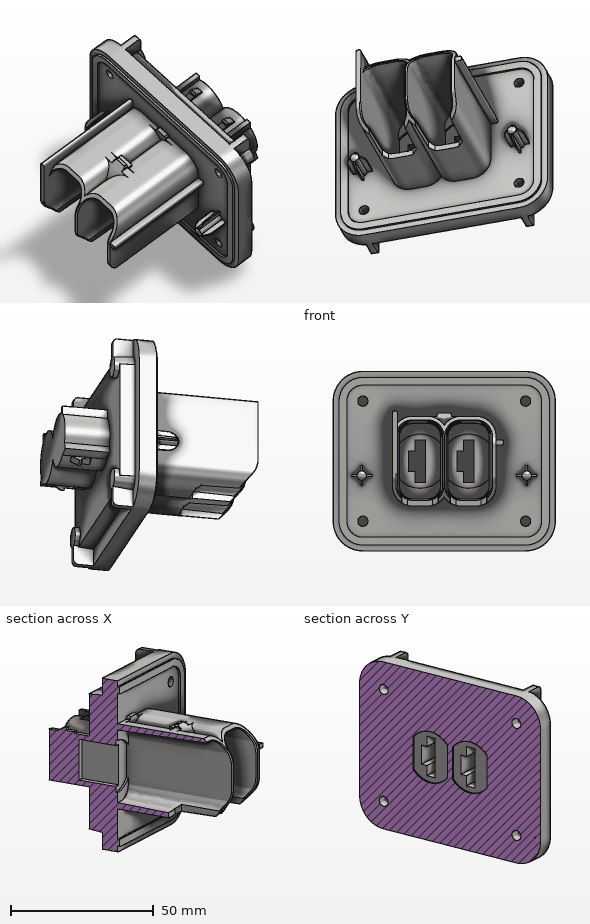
import cadquery as cq
import math

FLANGE_WIDTH = 78.0
FLANGE_HEIGHT = 63.0
FLANGE_THICK = 6.3
FLANGE_RADIUS = 10.45

RIM_HEIGHT = 0.8
RIM_OUTER_INSET = 2.1
RIM_INNER_INSET = 4.8

BOSS_X = FLANGE_WIDTH / 2 - FLANGE_RADIUS
BOSS_Z = FLANGE_HEIGHT / 2 - FLANGE_RADIUS
BOSS_BASE_RADIUS = 4.2
BOSS_TIP_RADIUS = 3.6
BOSS_HEIGHT = 7.2
SCREW_RADIUS = 1.8
SCREW_DEPTH = 11.7
FIN_THICK = 2.4
FIN_ROUND = 1.7

BLOCK_HEIGHT = 5.4
BLOCK_BASE_MARGIN = 4.3
BLOCK_BACK_MARGIN = 3.8

PIN_X = 28.9
PIN_Z = -5.1
PIN_RADIUS = 1.6
PIN_LENGTH = 10.45
PIN_DOME = 0.6
PIN_NOSE = 3.6
PIN_RIB_REACH = 3.5
PIN_RIB_THICK = 0.6

LOBE_X = 8.5
LOBE_HALF_WIDTH = 9.7
LOBE_HALF_HEIGHT = 15.75
LOBE_RADIUS = 7.0
SHROUD_LENGTH = 41.9
NOSE_STRAIGHT = 4.5
NOSE_RADIUS = 7.8
NOSE_ANGLE = math.radians(40)
LIP_CHAMFER = 0.5

NOTCH_START = 20.5
NOTCH_SHOULDER = 22.15
NOTCH_BACK_HALF_WIDTH = 4.45
NOTCH_SHOULDER_HALF_WIDTH = 6.25
NOTCH_TIP_HALF_WIDTH = 6.6
NOTCH_TOP = 11.7

CAVITY_HALF_WIDTH = 7.25
CAVITY_HALF_HEIGHT = 13.25
CAVITY_RADIUS = 4.7
MOUTH_HALF_WIDTH = 7.95
MOUTH_HALF_HEIGHT = 14.3
MOUTH_RADIUS = 5.45
FLOOR_RECESS_RADIUS = 9.5
FLOOR_RECESS_DEPTH = 0.8

SLOT_RIGHT = 1.9
SLOT_STEP = -1.7
SLOT_LEFT = -4.05
SLOT_HALF_HEIGHT = 7.4
SLOT_TAB_HALF_HEIGHT = 3.6
SLOT_DEPTH = 15.6

PANEL_THICK = 1.8
PANEL_TOP = 17.7
PANEL_ROUND = 0.85
SIDE_FIN_Z = 6.55
SIDE_FIN_THICK = 1.8
SIDE_FIN_REACH = 20.75
SIDE_FIN_ROUND = 0.7

KEY_HALF_WIDTH = 2.6
KEY_TOP = 16.85
KEY_BEVEL = 0.55
KEY_BASE = 7.8
REAR_KEY_FRONT = 1.6
FRONT_KEY_BACK = 17.6
KEY_HEAD_FRONT = 19.5
KEY_HEAD_HALF_WIDTH = 2.8
KEY_SLOPE_TOP = 20.5
KEY_SLOPE_FOOT = 27.5
VALLEY_FLOOR = 12.7

SOCKET_END = 27.85
BARREL_RADIUS = 9.4
RAIL_INNER = 12.4
RAIL_OUTER = 14.3
RAIL_TOP = 10.6
WING_TOP = 4.3
WING_EDGE = 6.95
WING_FOOT = 7.8

HOOK_WIDTH = 2.6
HOOK_TIP = 24.5
HOOK_CREST_BACK = 21.7
HOOK_CREST_FRONT = 20.75
HOOK_FOOT = 17.5
HOOK_HEIGHT = 11.0
HOOK_PAD_HEIGHT = 10.1
LOWER_HOOK_TILT = 26

LOBE_SIDES = (-1, 1)
SHROUD_EDGE = LOBE_X + LOBE_HALF_WIDTH
BLOCK_BACK = FLANGE_THICK + BLOCK_HEIGHT


def plane_at(y):
    """XZ plane at the given Y; extrusions from it run toward -Y."""
    return cq.Workplane("XZ", origin=(0, y, 0))


def box(x0, x1, y0, y1, z0, z1):
    return cq.Workplane("XY").box(x1 - x0, y1 - y0, z1 - z0, centered=False).translate((x0, y0, z0))


def rounded_block(half_width, half_height, radius, y_front, y_back, x=0.0):
    block = plane_at(y_back).center(x, 0).rect(2 * half_width, 2 * half_height).extrude(y_back - y_front)
    return block.edges("|Y").fillet(radius)


def rounded_section(half_width, half_height, radius):
    return cq.Sketch().rect(2 * half_width, 2 * half_height).vertices().fillet(radius)


def side_profile(points, x, width):
    """Prism of the given width about x from (y, z) points."""
    return cq.Workplane("YZ", origin=(x - width / 2, 0, 0)).polyline(points).close().extrude(width)


def make_flange():
    def inset_block(inset, y_front, y_back):
        half_width = FLANGE_WIDTH / 2 - inset
        half_height = FLANGE_HEIGHT / 2 - inset
        return rounded_block(half_width, half_height, FLANGE_RADIUS - inset, y_front, y_back)

    flange = inset_block(0, 0, FLANGE_THICK)
    rim = inset_block(RIM_OUTER_INSET, -RIM_HEIGHT, 0).cut(inset_block(RIM_INNER_INSET, -RIM_HEIGHT, 0))
    return flange.union(rim)


def make_backing_block():
    """Two crossed bars whose outer faces lean in toward the back."""
    def trapezoid(half_size):
        base = half_size + BLOCK_BASE_MARGIN
        back = half_size + BLOCK_BACK_MARGIN
        return [(FLANGE_THICK, -base), (BLOCK_BACK, -back), (BLOCK_BACK, back), (FLANGE_THICK, base)]

    tall_bar = side_profile(trapezoid(BOSS_Z), 0, 2 * BOSS_X)
    wide_outline = [(x, y) for y, x in trapezoid(BOSS_X)]
    wide_bar = cq.Workplane("XY", origin=(0, 0, -BOSS_Z)).polyline(wide_outline).close().extrude(2 * BOSS_Z)
    return tall_bar.union(wide_bar)


def make_boss(x, z):
    """Tapered boss with a fin running outward to the flange edge."""
    boss_back = FLANGE_THICK + BOSS_HEIGHT
    boss = (
        plane_at(boss_back).center(x, z).circle(BOSS_TIP_RADIUS)
        .workplane(offset=BOSS_HEIGHT).circle(BOSS_BASE_RADIUS)
        .loft()
    )
    top = FLANGE_HEIGHT / 2
    fin = box(x - FIN_THICK / 2, x + FIN_THICK / 2, FLANGE_THICK, boss_back, BOSS_Z, top)
    fin = fin.edges("|X and >Y and >Z").fillet(FIN_ROUND)
    if z < 0:
        fin = fin.mirror("XY")
    outline = rounded_block(FLANGE_WIDTH / 2, top, FLANGE_RADIUS, FLANGE_THICK, boss_back)
    return boss.union(fin.intersect(outline))


def make_pin(x):
    """Domed pin with four ribs whose outer edges curve in to the nose."""
    dome_start = PIN_DOME - PIN_LENGTH
    nose_start = dome_start + PIN_NOSE
    core = plane_at(0).circle(PIN_RADIUS).extrude(-dome_start)
    dome_radius = (PIN_RADIUS ** 2 + PIN_DOME ** 2) / (2 * PIN_DOME)
    dome = cq.Workplane("XY").sphere(dome_radius).translate((0, dome_radius - PIN_LENGTH, 0))
    dome = dome.intersect(plane_at(dome_start).circle(PIN_RADIUS).extrude(PIN_DOME))
    rib = (
        cq.Workplane("XY", origin=(0, 0, -PIN_RIB_THICK / 2))
        .moveTo(PIN_RIB_REACH, 0)
        .lineTo(PIN_RIB_REACH, nose_start)
        .tangentArcPoint((PIN_RADIUS, dome_start), relative=False)
        .lineTo(0, dome_start)
        .lineTo(0, 0)
        .close()
        .extrude(PIN_RIB_THICK)
    )
    pin = core.union(dome)
    for quarter in range(4):
        pin = pin.union(rib.rotate((0, 0, 0), (0, 1, 0), 90 * quarter))
    return pin.translate((x, 0, PIN_Z))


def make_nose_envelope():
    """Side outline of the shroud: flat tip, arcs, then slopes running back."""
    tip = -SHROUD_LENGTH
    arc_y = tip + NOSE_RADIUS * (1 - math.cos(NOSE_ANGLE))
    arc_z = NOSE_STRAIGHT + NOSE_RADIUS * math.sin(NOSE_ANGLE)
    mid_y = tip + NOSE_RADIUS * (1 - math.cos(NOSE_ANGLE / 2))
    mid_z = NOSE_STRAIGHT + NOSE_RADIUS * math.sin(NOSE_ANGLE / 2)
    slope_y = arc_y + (LOBE_HALF_HEIGHT - arc_z) * math.tan(NOSE_ANGLE)
    return (
        cq.Workplane("YZ", origin=(-FLANGE_WIDTH / 2, 0, 0))
        .moveTo(0, LOBE_HALF_HEIGHT)
        .lineTo(slope_y, LOBE_HALF_HEIGHT)
        .lineTo(arc_y, arc_z)
        .threePointArc((mid_y, mid_z), (tip, NOSE_STRAIGHT))
        .lineTo(tip, -NOSE_STRAIGHT)
        .threePointArc((mid_y, -mid_z), (arc_y, -arc_z))
        .lineTo(slope_y, -LOBE_HALF_HEIGHT)
        .lineTo(0, -LOBE_HALF_HEIGHT)
        .close()
        .extrude(FLANGE_WIDTH)
    )


def select_mouth(side):
    """Selector for the edges where a cavity meets the nose faces."""
    x = side * LOBE_X
    nose_back = -(SHROUD_LENGTH - LOBE_RADIUS)

    def around_axis(half_width, half_height):
        corner = (x - half_width, -SHROUD_LENGTH - LIP_CHAMFER, -half_height)
        return cq.selectors.BoxSelector(corner, (x + half_width, nose_back, half_height))

    sides_and_corners = around_axis(MOUTH_HALF_WIDTH + LIP_CHAMFER / 2, CAVITY_HALF_HEIGHT)
    top_and_bottom = around_axis(CAVITY_RADIUS, MOUTH_HALF_HEIGHT)
    return sides_and_corners + top_and_bottom


def make_shroud():
    tip = -SHROUD_LENGTH
    lobes = [
        rounded_block(LOBE_HALF_WIDTH, LOBE_HALF_HEIGHT, LOBE_RADIUS, tip, 0, side * LOBE_X)
        for side in LOBE_SIDES
    ]
    shroud = lobes[0].union(lobes[1]).intersect(make_nose_envelope())
    for side in LOBE_SIDES:
        shroud = shroud.cut(make_cavity(side))
    for side in LOBE_SIDES:
        shroud = shroud.edges(select_mouth(side)).chamfer(LIP_CHAMFER)
    panel = box(-SHROUD_EDGE, PANEL_THICK - SHROUD_EDGE, tip, 0, -NOSE_STRAIGHT, PANEL_TOP)
    panel = panel.edges("|Y and >Z").fillet(PANEL_ROUND)
    half_fin = SIDE_FIN_THICK / 2
    fin = box(SHROUD_EDGE, SIDE_FIN_REACH, tip, 0, SIDE_FIN_Z - half_fin, SIDE_FIN_Z + half_fin)
    fin = fin.edges("|Y and >X").fillet(SIDE_FIN_ROUND)
    return shroud.union(panel).union(fin)


def make_keys():
    """Two bevelled keys; the front one fills the valley and slopes down to its floor."""
    filler_half_width = LOBE_X - (LOBE_HALF_WIDTH - LOBE_RADIUS)

    def block(half_width, y_front, y_back, top):
        return box(-half_width, half_width, y_front, y_back, KEY_BASE, top)

    def filled_key(y_front, y_back):
        key = block(KEY_HALF_WIDTH, y_front, y_back, KEY_TOP).edges("|Y and >Z").chamfer(KEY_BEVEL)
        return key.union(block(filler_half_width, y_front, y_back, LOBE_HALF_HEIGHT))

    slope = side_profile(
        [
            (-KEY_HEAD_FRONT, KEY_BASE),
            (-KEY_HEAD_FRONT, KEY_TOP),
            (-KEY_SLOPE_TOP, KEY_TOP),
            (-KEY_SLOPE_FOOT, VALLEY_FLOOR),
            (-KEY_SLOPE_FOOT, KEY_BASE),
        ],
        0,
        2 * filler_half_width,
    )
    ramp = filled_key(-KEY_SLOPE_FOOT, -KEY_HEAD_FRONT).intersect(slope)
    head = block(KEY_HEAD_HALF_WIDTH, -KEY_HEAD_FRONT, -FRONT_KEY_BACK, LOBE_HALF_HEIGHT)
    rear = filled_key(-REAR_KEY_FRONT, 0)
    return ramp.union(head).union(rear)


def make_notch(side):
    """Bottom-wall notch that flares at its shoulder and slightly toward the tip."""
    x = side * LOBE_X
    half_outline = [
        (NOTCH_BACK_HALF_WIDTH, -NOTCH_START),
        (NOTCH_SHOULDER_HALF_WIDTH, -NOTCH_SHOULDER),
        (NOTCH_TIP_HALF_WIDTH, -SHROUD_LENGTH),
    ]
    outline = half_outline + [(-half_width, y) for half_width, y in reversed(half_outline)]
    notch = cq.Workplane("XY", origin=(x, 0, -LOBE_HALF_HEIGHT)).polyline(outline).close()
    return notch.extrude(LOBE_HALF_HEIGHT - NOTCH_TOP)


def make_cavity(side):
    """Tapered cavity with a round floor recess and a T-shaped contact slot."""
    x = side * LOBE_X
    floor = rounded_section(CAVITY_HALF_WIDTH, CAVITY_HALF_HEIGHT, CAVITY_RADIUS)
    mouth = rounded_section(MOUTH_HALF_WIDTH, MOUTH_HALF_HEIGHT, MOUTH_RADIUS)
    mouth = mouth.moved(cq.Location(cq.Vector(0, 0, SHROUD_LENGTH)))
    cavity = plane_at(0).center(x, 0).placeSketch(floor, mouth).loft()
    recess = plane_at(FLOOR_RECESS_DEPTH).center(x, 0).circle(FLOOR_RECESS_RADIUS).extrude(FLOOR_RECESS_DEPTH)
    recess = recess.intersect(
        box(x - CAVITY_HALF_WIDTH, x + CAVITY_HALF_WIDTH, 0, FLOOR_RECESS_DEPTH,
            -CAVITY_HALF_HEIGHT, CAVITY_HALF_HEIGHT)
    )
    bar = box(x + SLOT_STEP, x + SLOT_RIGHT, 0, SLOT_DEPTH, -SLOT_HALF_HEIGHT, SLOT_HALF_HEIGHT)
    tab = box(x + SLOT_LEFT, x + SLOT_STEP, 0, SLOT_DEPTH, -SLOT_TAB_HALF_HEIGHT, SLOT_TAB_HALF_HEIGHT)
    return cavity.union(recess).union(bar.union(tab))


def make_socket_half(side):
    """One rear barrel with its upper rail, lower wing and snap hooks."""
    x = side * LOBE_X
    length = SOCKET_END - BLOCK_BACK
    barrel = plane_at(SOCKET_END).center(x, 0).circle(BARREL_RADIUS).extrude(length)
    rail_x0, rail_x1 = sorted((side * RAIL_INNER, side * RAIL_OUTER))
    rail = box(rail_x0, rail_x1, BLOCK_BACK, SOCKET_END, 0, RAIL_TOP)
    wing_root = side * (LOBE_X + math.sqrt(BARREL_RADIUS ** 2 - WING_TOP ** 2))
    wing_foot = side * (LOBE_X + math.sqrt(BARREL_RADIUS ** 2 - WING_FOOT ** 2))
    wing = (
        plane_at(SOCKET_END)
        .polyline([
            (x, 0),
            (wing_root, -WING_TOP),
            (side * SHROUD_EDGE, -WING_EDGE),
            (wing_foot, -WING_FOOT),
        ])
        .close()
        .extrude(length)
    )
    upper_hook = side_profile(
        [
            (HOOK_TIP, 0),
            (HOOK_TIP, BARREL_RADIUS),
            (HOOK_CREST_BACK, HOOK_HEIGHT),
            (HOOK_CREST_FRONT, HOOK_HEIGHT),
            (HOOK_CREST_FRONT, HOOK_PAD_HEIGHT),
            (HOOK_FOOT, HOOK_PAD_HEIGHT),
            (HOOK_FOOT, 0),
        ],
        x,
        HOOK_WIDTH,
    )
    turn = side * (180 - LOWER_HOOK_TILT)
    lower_hook = upper_hook.rotate((x, 0, 0), (x, 1, 0), turn)
    return barrel.union(rail).union(wing).union(upper_hook).union(lower_hook)


result = make_flange().union(make_backing_block()).union(make_shroud()).union(make_keys())
for side in LOBE_SIDES:
    result = result.union(make_socket_half(side)).union(make_pin(side * PIN_X))
    for boss_z in (-BOSS_Z, BOSS_Z):
        result = result.union(make_boss(side * BOSS_X, boss_z))
for side in LOBE_SIDES:
    result = result.cut(make_cavity(side)).cut(make_notch(side))

screw_points = [(sx * BOSS_X, sz * BOSS_Z) for sx in LOBE_SIDES for sz in LOBE_SIDES]
result = result.cut(plane_at(SCREW_DEPTH).pushPoints(screw_points).circle(SCREW_RADIUS).extrude(SCREW_DEPTH))